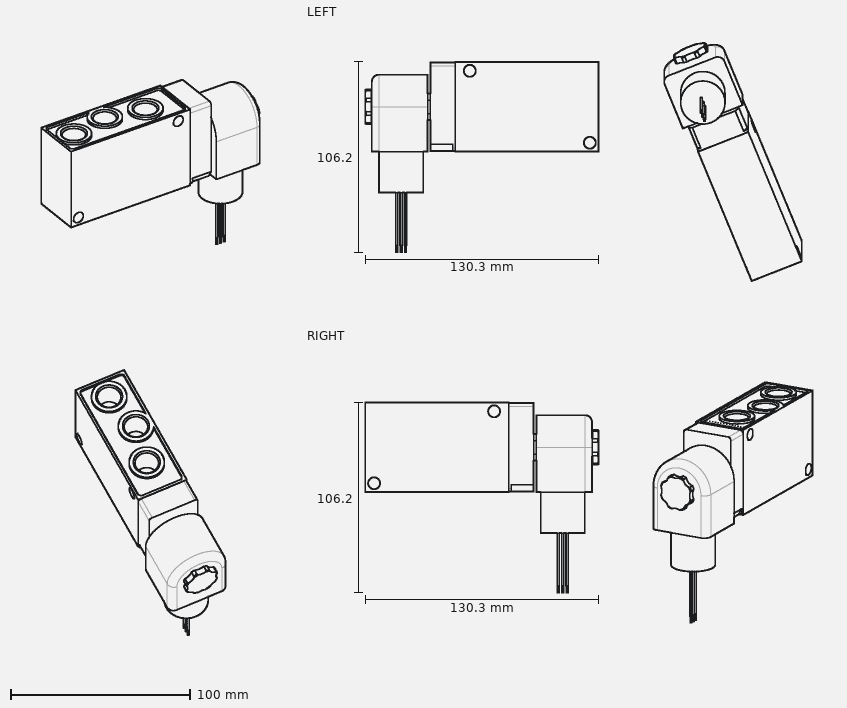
import cadquery as cq
import math

BLOCK_WIDTH = 30.2
BLOCK_LENGTH = 80.0
BLOCK_HEIGHT = 50.0

POCKET_MARGIN = 1.5
POCKET_DEPTH = 1.4
POCKET_CORNER_RADIUS = 2.0

PORT_RING_DIAMETER = 19.8
PORT_MOUTH_DIAMETER = 15.0
PORT_THROAT_DIAMETER = 13.2
PORT_FLOOR_DIAMETER = 12.1
PORT_DEPTH = 15.6
FIRST_PORT_Y = 12.0
PORT_PITCH = 24.0
MIDDLE_PORT_X = -5.0

MOUNT_HOLE_DIAMETER = 6.5
MOUNT_HOLE_INSET = 5.0
REAR_MOUNT_HOLE_Y = 71.9

COVER_LENGTH = 14.0
COVER_INSET = 0.3
COVER_CORNER_RADIUS = 2.0
COVER_FLANGE_LENGTH = 1.4
COVER_CHAMFER_WIDTH = 2.2
COVER_CHAMFER_HEIGHT = 3.9

STEM_HEX_DIAMETER = 15.0
STEM_GAP = 1.5
ROD_DIAMETER = 10.4

COIL_WIDTH = 36.0
COIL_LENGTH = 31.1
COIL_EDGE_RADIUS = 4.0

KNOB_GAP = 0.1
KNOB_DIAMETER = 20.2
KNOB_CHAMFER = 0.5
SCALLOP_COUNT = 8
SCALLOP_DIAMETER = 10.4
SCALLOP_HALF_WIDTH = 2.9

CONNECTOR_DIAMETER = 24.8
CONNECTOR_LENGTH = 22.8
CONNECTOR_Y = 110.2
WIRE_DIAMETER = 1.3
WIRE_LENGTH = 29.5
WIRE_TIP_DIAMETER = 1.0
WIRE_TIP_LENGTH = 3.9
WIRE_PITCH = 2.5

TOTAL_LENGTH = 130.3

AXIS_Z = BLOCK_HEIGHT / 2
COVER_REAR_Y = BLOCK_LENGTH + COVER_LENGTH
COIL_FRONT_Y = COVER_REAR_Y + STEM_GAP
COIL_REAR_Y = COIL_FRONT_Y + COIL_LENGTH
KNOB_FRONT_Y = COIL_REAR_Y + KNOB_GAP
KNOB_LENGTH = TOTAL_LENGTH - KNOB_FRONT_Y


def rear_plane(y, z=0.0):
    """Plane across the Y axis whose extrusions grow towards +Y and whose local Y is Z."""
    return cq.Plane(origin=(0, y, z), xDir=(-1, 0, 0), normal=(0, 1, 0))


def upright_cylinder(x, y, base_z, diameter, height):
    return cq.Workplane("XY", origin=(x, y, base_z)).circle(diameter / 2).extrude(height)


def port_positions():
    return [
        (0.0, FIRST_PORT_Y),
        (MIDDLE_PORT_X, FIRST_PORT_Y + PORT_PITCH),
        (0.0, FIRST_PORT_Y + 2 * PORT_PITCH),
    ]


def port_cutter(x, y):
    """Chamfered mouth above a blind hole that tapers evenly to its flat floor."""
    chamfer = (PORT_MOUTH_DIAMETER - PORT_THROAT_DIAMETER) / 2
    profile = [
        (0, 0),
        (PORT_MOUTH_DIAMETER / 2, 0),
        (PORT_THROAT_DIAMETER / 2, -chamfer),
        (PORT_FLOOR_DIAMETER / 2, -PORT_DEPTH),
        (0, -PORT_DEPTH),
    ]
    cutter = cq.Workplane("XZ").polyline(profile).close().revolve(360, (0, 0), (0, 1))
    return cutter.translate((x, y, BLOCK_HEIGHT))


def make_block():
    block = cq.Workplane("XY").box(
        BLOCK_WIDTH, BLOCK_LENGTH, BLOCK_HEIGHT, centered=(True, False, False)
    )

    pocket_floor = BLOCK_HEIGHT - POCKET_DEPTH
    pocket = (
        cq.Workplane("XY", origin=(0, BLOCK_LENGTH / 2, pocket_floor))
        .rect(BLOCK_WIDTH - 2 * POCKET_MARGIN, BLOCK_LENGTH - 2 * POCKET_MARGIN)
        .extrude(POCKET_DEPTH)
        .edges("|Z")
        .fillet(POCKET_CORNER_RADIUS)
    )
    for x, y in port_positions():
        pocket = pocket.cut(upright_cylinder(x, y, pocket_floor, PORT_RING_DIAMETER, POCKET_DEPTH))
    block = block.cut(pocket)

    for x, y in port_positions():
        block = block.cut(port_cutter(x, y))

    mount_holes = (
        cq.Workplane("YZ", origin=(-BLOCK_WIDTH / 2, 0, 0))
        .pushPoints([
            (MOUNT_HOLE_INSET, MOUNT_HOLE_INSET),
            (REAR_MOUNT_HOLE_Y, BLOCK_HEIGHT - MOUNT_HOLE_INSET),
        ])
        .circle(MOUNT_HOLE_DIAMETER / 2)
        .extrude(BLOCK_WIDTH)
    )
    return block.cut(mount_holes)


def cover_chamfer_cutter(side):
    """Wedge removed from one lower long edge of the cover (side is -1 or +1 along X)."""
    edge_x = side * BLOCK_WIDTH / 2
    wedge = [
        (edge_x, COVER_INSET),
        (edge_x, COVER_INSET + COVER_CHAMFER_HEIGHT),
        (edge_x - side * COVER_CHAMFER_WIDTH, COVER_INSET),
    ]
    return (
        cq.Workplane("XZ", origin=(0, BLOCK_LENGTH + COVER_FLANGE_LENGTH, 0))
        .polyline(wedge)
        .close()
        .extrude(-(COVER_LENGTH - COVER_FLANGE_LENGTH))
    )


def make_knob():
    knob = (
        cq.Workplane(rear_plane(KNOB_FRONT_Y, AXIS_Z))
        .circle(KNOB_DIAMETER / 2)
        .extrude(KNOB_LENGTH)
        .faces(">Y")
        .chamfer(KNOB_CHAMFER)
    )
    rim_offset = math.sqrt((KNOB_DIAMETER / 2) ** 2 - SCALLOP_HALF_WIDTH**2)
    centre_offset = math.sqrt((SCALLOP_DIAMETER / 2) ** 2 - SCALLOP_HALF_WIDTH**2)
    scallops = (
        cq.Workplane(rear_plane(KNOB_FRONT_Y, AXIS_Z))
        .polarArray(rim_offset + centre_offset, 0, 360, SCALLOP_COUNT)
        .circle(SCALLOP_DIAMETER / 2)
        .extrude(KNOB_LENGTH)
    )
    return knob.cut(scallops)


def make_operator():
    """End cover with its hexagonal stem, the rod through the coil and the retaining knob."""
    cover = (
        cq.Workplane(rear_plane(BLOCK_LENGTH, AXIS_Z))
        .rect(BLOCK_WIDTH, BLOCK_HEIGHT - 2 * COVER_INSET)
        .extrude(COVER_LENGTH)
        .edges("|Y")
        .fillet(COVER_CORNER_RADIUS)
    )
    for side in (-1, 1):
        cover = cover.cut(cover_chamfer_cutter(side))

    hex_stem = (
        cq.Workplane(rear_plane(COVER_REAR_Y, AXIS_Z))
        .transformed(rotate=(0, 0, 90))
        .polygon(6, STEM_HEX_DIAMETER)
        .extrude(STEM_GAP)
    )
    rod = (
        cq.Workplane(rear_plane(COIL_FRONT_Y, AXIS_Z))
        .circle(ROD_DIAMETER / 2)
        .extrude(COIL_LENGTH + KNOB_GAP)
    )
    return cover.union(hex_stem).union(rod).union(make_knob())


def make_wire(y):
    top_z = -CONNECTOR_LENGTH
    sleeve = upright_cylinder(0, y, top_z, WIRE_DIAMETER, -WIRE_LENGTH)
    tip = upright_cylinder(0, y, top_z - WIRE_LENGTH, WIRE_TIP_DIAMETER, -WIRE_TIP_LENGTH)
    return sleeve.union(tip)


def make_coil():
    half_width = COIL_WIDTH / 2
    housing = (
        cq.Workplane(rear_plane(COIL_FRONT_Y))
        .moveTo(-half_width, 0)
        .lineTo(-half_width, AXIS_Z)
        .threePointArc((0, AXIS_Z + half_width), (half_width, AXIS_Z))
        .lineTo(half_width, 0)
        .close()
        .extrude(COIL_LENGTH)
    )
    housing = housing.faces(">Y").edges("not <Z").fillet(COIL_EDGE_RADIUS)
    rod_hole = (
        cq.Workplane(rear_plane(COIL_FRONT_Y, AXIS_Z))
        .circle(ROD_DIAMETER / 2)
        .extrude(COIL_LENGTH)
    )
    coil = housing.cut(rod_hole)

    coil = coil.union(upright_cylinder(0, CONNECTOR_Y, 0, CONNECTOR_DIAMETER, -CONNECTOR_LENGTH))
    for step in (-1, 0, 1):
        coil = coil.union(make_wire(CONNECTOR_Y + step * WIRE_PITCH))
    return coil


block = make_block()
operator = make_operator()
coil = make_coil()

result = cq.Compound.makeCompound([block.solids().val(), operator.solids().val(), coil.solids().val()])